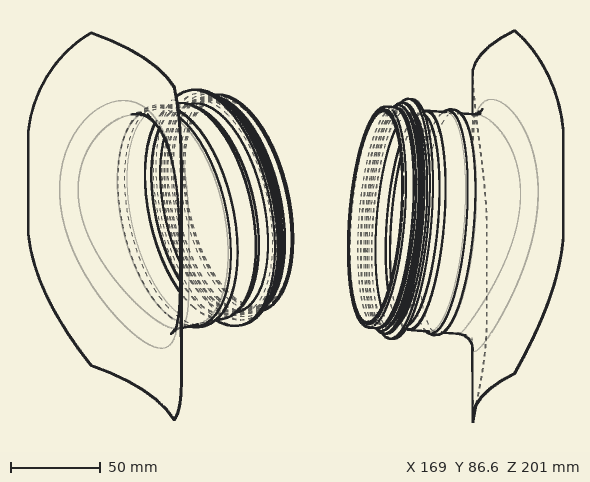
import cadquery as cq
import math


sheet = 0.5

plate_length = 201.0
plate_width = 169.0
flat_end_half_width = 45.8
straight_side_half_length = 31.2
corner_mid_x = 66.7
corner_mid_z = 78.8
envelope_height = 50.2
saddle_outer_radius = 154.8
saddle_inner_radius = saddle_outer_radius - sheet
flare_outer_radius = 9.5
flare_inner_radius = flare_outer_radius + sheet

collar_end = 61.1
collar_radius = 123.0 / 2
spigot_radius = 119.2 / 2
spigot_step_start = collar_end - 24.5
spigot_step_end = collar_end - 21.5
bead_center = collar_end - 39.2
bead_half_width = 3.2
bead_root_radius = 1.0
bead_radius = collar_radius + 1.8
bead_bottom = bead_center - bead_half_width
bead_top = bead_center + bead_half_width

hem_radius = 124.0 / 2
hem_length = 6.0
hem_rounding = 1.6
hem_edge = collar_end - hem_length

gasket_radius = hem_radius - sheet
gasket_bottom = collar_end - 15.7
small_lip_radius = 63.3
middle_lip_radius = 129.5 / 2
large_lip_radius = 134.5 / 2
small_lip_center = collar_end - 8.5
small_lip_half_width = 1.0
middle_lip_bottom = collar_end - 11.5
middle_lip_thickness = 1.2
large_lip_thickness = 1.8


def cylinder_along_y(radius, start, end):
    """Solid cylinder around the Y axis."""
    return cq.Workplane("XZ", origin=(0, start, 0)).circle(radius).extrude(start - end)


def revolve_around_y(profile):
    """Full turn around the Y axis of a closed profile in the XY plane."""
    return profile.close().revolve(360, (0, 0, 0), (0, 1, 0))


def flared_form(saddle_radius, neck_radius, flare_radius):
    """Solid drum with a round neck on it, blended by a fillet."""
    drum = (
        cq.Workplane("XY", origin=(0, -saddle_outer_radius, -plate_length))
        .circle(saddle_radius)
        .extrude(2 * plate_length)
    )
    neck = cylinder_along_y(neck_radius, -saddle_outer_radius / 2, bead_bottom)
    corner_reach = neck_radius + sheet
    junction = cq.selectors.BoxSelector(
        (-corner_reach, -saddle_outer_radius / 2 + sheet, -corner_reach),
        (corner_reach, bead_bottom - sheet, corner_reach),
        boundingbox=True,
    )
    return drum.union(neck).edges(junction).fillet(flare_radius)


def plate_outline():
    """Concave-face outline with flat ends, straight sides and arched corners, as a prism along Y."""
    half_width = plate_width / 2 * saddle_inner_radius / saddle_outer_radius
    half_length = plate_length / 2
    return (
        cq.Workplane("XZ", origin=(0, bead_bottom, 0))
        .moveTo(-flat_end_half_width, half_length)
        .lineTo(flat_end_half_width, half_length)
        .threePointArc((corner_mid_x, corner_mid_z), (half_width, straight_side_half_length))
        .lineTo(half_width, -straight_side_half_length)
        .threePointArc((corner_mid_x, -corner_mid_z), (flat_end_half_width, -half_length))
        .lineTo(-flat_end_half_width, -half_length)
        .threePointArc((-corner_mid_x, -corner_mid_z), (-half_width, -straight_side_half_length))
        .lineTo(-half_width, straight_side_half_length)
        .threePointArc((-corner_mid_x, corner_mid_z), (-flat_end_half_width, half_length))
        .close()
        .extrude(bead_bottom + saddle_outer_radius / 2)
    )


def plate_envelope():
    """Curved block over the plate outline, with its side walls square to the saddle surface."""
    drum = (
        cq.Workplane("XY", origin=(0, -saddle_outer_radius, -plate_length))
        .circle(saddle_inner_radius)
        .extrude(2 * plate_length)
    )
    concave_face = drum.intersect(plate_outline()).faces(">Y").val()
    return cq.Workplane(concave_face.thicken(envelope_height))


def make_saddle():
    """Curved plate of even thickness, flaring into the start of the collar."""
    outside = flared_form(saddle_outer_radius, collar_radius, flare_outer_radius)
    inside = flared_form(saddle_inner_radius, collar_radius - sheet, flare_inner_radius)
    return outside.cut(inside).intersect(plate_envelope())


def make_collar():
    """Stepped tube with a solid outer bead, whose end is folded back outwards into a hem."""
    rounding_mid = hem_rounding * (1 - math.sqrt(0.5))
    root_offset = bead_root_radius * (1 - math.sqrt(0.5))
    root_mid = bead_root_radius * math.sqrt(0.5)
    profile = (
        cq.Workplane("XY")
        .moveTo(collar_radius - sheet, bead_bottom)
        .lineTo(collar_radius, bead_bottom)
        .threePointArc(
            (collar_radius + root_offset, bead_bottom + root_mid),
            (collar_radius + bead_root_radius, bead_bottom + bead_root_radius),
        )
        .threePointArc(
            (bead_radius, bead_center),
            (collar_radius + bead_root_radius, bead_top - bead_root_radius),
        )
        .threePointArc(
            (collar_radius + root_offset, bead_top - root_mid),
            (collar_radius, bead_top),
        )
        .lineTo(collar_radius, spigot_step_start)
        .lineTo(spigot_radius, spigot_step_end)
        .lineTo(spigot_radius, collar_end - sheet)
        .lineTo(hem_radius - hem_rounding, collar_end - sheet)
        .lineTo(hem_radius - sheet, collar_end - hem_rounding)
        .lineTo(hem_radius - sheet, hem_edge)
        .lineTo(hem_radius, hem_edge)
        .lineTo(hem_radius, collar_end - hem_rounding)
        .threePointArc(
            (hem_radius - rounding_mid, collar_end - rounding_mid),
            (hem_radius - hem_rounding, collar_end),
        )
        .lineTo(spigot_radius - sheet, collar_end)
        .lineTo(spigot_radius - sheet, spigot_step_end)
        .lineTo(collar_radius - sheet, spigot_step_start)
    )
    return revolve_around_y(profile)


def make_gasket():
    """Sealing ring that fills the hem and carries three lips below it."""
    middle_lip_top = middle_lip_bottom + middle_lip_thickness
    large_lip_top = gasket_bottom + large_lip_thickness
    profile = (
        cq.Workplane("XY")
        .moveTo(spigot_radius, gasket_bottom)
        .lineTo(large_lip_radius, gasket_bottom)
        .lineTo(large_lip_radius, large_lip_top)
        .lineTo(gasket_radius, large_lip_top)
        .lineTo(gasket_radius, middle_lip_bottom)
        .lineTo(middle_lip_radius, middle_lip_bottom)
        .lineTo(middle_lip_radius, middle_lip_top)
        .lineTo(gasket_radius, middle_lip_top)
        .lineTo(gasket_radius, small_lip_center - small_lip_half_width)
        .lineTo(small_lip_radius, small_lip_center)
        .lineTo(gasket_radius, small_lip_center + small_lip_half_width)
        .lineTo(gasket_radius, collar_end - hem_rounding)
        .lineTo(hem_radius - hem_rounding, collar_end - sheet)
        .lineTo(spigot_radius, collar_end - sheet)
    )
    return revolve_around_y(profile)


fitting = make_saddle().union(make_collar())
gasket = make_gasket()

result = cq.Compound.makeCompound([fitting.solids().val(), gasket.val()])